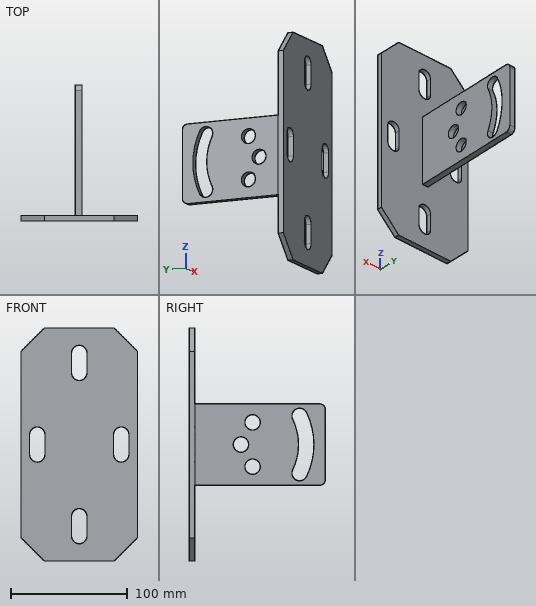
import cadquery as cq
import math

plate_width = 100.0
plate_height = 200.0
plate_thickness = 5.0
plate_corner_chamfer = 20.0

bolt_clearance = 13.0

slot_length = 30.0
end_slot_offset = 70.0
side_slot_offset = 36.0

overall_depth = 117.0
tab_length = overall_depth - plate_thickness
tab_height = 70.0
tab_thickness = 6.0
tab_center_x = -0.5
tab_left_x = tab_center_x - tab_thickness / 2
tab_corner_radius = 5.0

pivot_to_tab_end = 72.5
pivot_y = overall_depth - pivot_to_tab_end
outer_hole_offset = 10.0
outer_hole_y = pivot_y + outer_hole_offset
outer_hole_z = 19.0

arc_radius = 56.0
arc_half_angle = math.radians(26.0)


def make_plate():
    """Chamfered base plate with four upright slots."""
    blank = cq.Workplane("XY").box(
        plate_width, plate_thickness, plate_height, centered=(True, False, True)
    )
    blank = blank.edges("|Y").chamfer(plate_corner_chamfer)
    slot_centres = [
        (0, end_slot_offset),
        (0, -end_slot_offset),
        (side_slot_offset, 0),
        (-side_slot_offset, 0),
    ]
    slots = (
        cq.Workplane("XZ")
        .pushPoints(slot_centres)
        .slot2D(slot_length, bolt_clearance, angle=90)
        .extrude(-plate_thickness)
    )
    return blank.cut(slots)


def make_round_holes():
    """Pivot hole and the two holes above and below it."""
    centres = [(pivot_y, 0), (outer_hole_y, outer_hole_z), (outer_hole_y, -outer_hole_z)]
    return (
        cq.Workplane("YZ", origin=(tab_left_x, 0, 0))
        .pushPoints(centres)
        .circle(bolt_clearance / 2)
        .extrude(tab_thickness)
    )


def pivot_polar(radius, angle):
    """Point (Y, Z) at a radius and angle about the pivot hole, measured from +Y."""
    return (pivot_y + radius * math.cos(angle), radius * math.sin(angle))


def make_arc_slot():
    """Curved slot with round ends, swung about the pivot hole."""
    end_radius = bolt_clearance / 2
    inner_radius = arc_radius - end_radius
    outer_radius = arc_radius + end_radius
    tip_y, tip_z = pivot_polar(arc_radius, arc_half_angle)
    tip_y -= end_radius * math.sin(arc_half_angle)
    tip_z += end_radius * math.cos(arc_half_angle)
    return (
        cq.Workplane("YZ", origin=(tab_left_x, 0, 0))
        .moveTo(*pivot_polar(outer_radius, -arc_half_angle))
        .threePointArc(pivot_polar(outer_radius, 0), pivot_polar(outer_radius, arc_half_angle))
        .threePointArc((tip_y, tip_z), pivot_polar(inner_radius, arc_half_angle))
        .threePointArc(pivot_polar(inner_radius, 0), pivot_polar(inner_radius, -arc_half_angle))
        .threePointArc((tip_y, -tip_z), pivot_polar(outer_radius, -arc_half_angle))
        .close()
        .extrude(tab_thickness)
    )


def make_tab():
    """Tab with rounded free corners, three holes and a curved slot."""
    blank = (
        cq.Workplane("XY", origin=(tab_center_x, plate_thickness, 0))
        .box(tab_thickness, tab_length, tab_height, centered=(True, False, True))
        .faces(">Y")
        .edges("|X")
        .fillet(tab_corner_radius)
    )
    return blank.cut(make_round_holes()).cut(make_arc_slot())


plate = make_plate()
tab = make_tab()

result = cq.Compound.makeCompound([plate.val(), tab.val()])